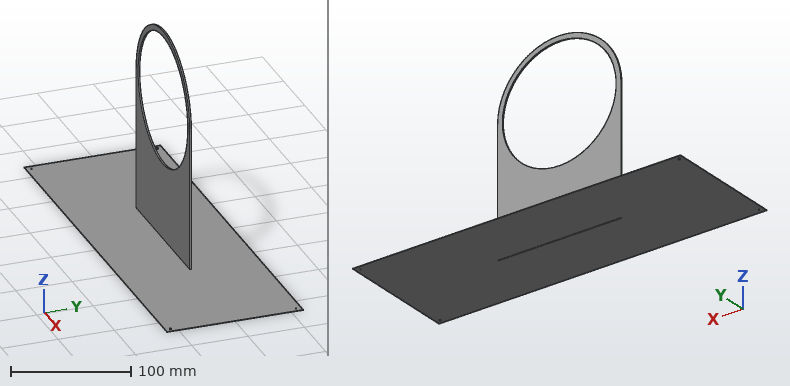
import cadquery as cq

base_length = 338.51
base_width = 121.0
base_thickness = 0.7

overall_height = 191.97
upright_thickness = 1.6
ring_bore_diameter = 117.51
upright_width = 127.5
ring_radius = upright_width / 2
ring_center_z = overall_height - ring_radius

corner_inset_x = 4.55
corner_inset_y = 4.75
corner_holes = [
    (-1, 1, 2.2),
    (1, -1, 1.7),
    (-1, -1, 1.1),
    (1, 1, 1.1),
]


def make_base():
    """Flat rectangular plate with a through hole of its own size in each corner."""
    base = cq.Workplane("XY").box(base_length, base_width, base_thickness, centered=(True, True, False))
    hole_x = base_length / 2 - corner_inset_x
    hole_y = base_width / 2 - corner_inset_y
    for side_x, side_y, diameter in corner_holes:
        hole = (
            cq.Workplane("XY")
            .center(side_x * hole_x, side_y * hole_y)
            .circle(diameter / 2)
            .extrude(base_thickness)
        )
        base = base.cut(hole)
    return base


def make_upright():
    """Round-topped plate in the XZ plane with a large bore concentric with its top."""
    return (
        cq.Workplane("XZ")
        .moveTo(-ring_radius, 0)
        .lineTo(ring_radius, 0)
        .lineTo(ring_radius, ring_center_z)
        .threePointArc((0, overall_height), (-ring_radius, ring_center_z))
        .close()
        .moveTo(0, ring_center_z)
        .circle(ring_bore_diameter / 2)
        .extrude(upright_thickness / 2, both=True)
    )


result = make_base().union(make_upright())